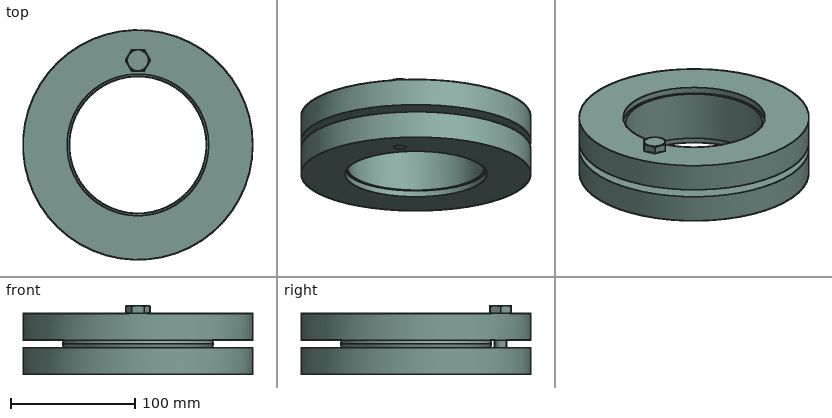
import cadquery as cq
import math

flange_diameter = 185.0
flange_thickness = 21.5
flange_gap = 6.1
upper_base = flange_thickness + flange_gap
upper_top = upper_base + flange_thickness

sleeve_bore = 110.0
sleeve_diameter = 114.0
sleeve_recess = 5.0
collar_end_diameter = 119.9
collar_ridge_diameter = 121.4

bolt_circle_diameter = 136.0
bolt_offset = bolt_circle_diameter / 2
shank_diameter = 10.0
head_height = 6.3
washer_face_diameter = 15.4
washer_face_height = 0.2
head_across_flats = 17.2
head_corner_diameter = head_across_flats / math.cos(math.pi / 6)
head_top_diameter = 17.0
head_chamfer_angle = math.radians(30)


def cylinder(diameter, base, height):
    """Upright cylinder on the Z axis."""
    return cq.Workplane("XY").workplane(offset=base).circle(diameter / 2).extrude(height)


def make_flange(base):
    """Plain ring flange with a sleeve bore and a bolt hole."""
    bore = cylinder(sleeve_diameter, base, flange_thickness)
    bolt_hole = cylinder(shank_diameter, base, flange_thickness).translate((0, bolt_offset, 0))
    return cylinder(flange_diameter, base, flange_thickness).cut(bore).cut(bolt_hole)


def make_sleeve():
    """Recessed tube with a collar that fills the gap and rises to a ridge at mid-height."""
    tube = cylinder(sleeve_diameter, sleeve_recess, upper_top - 2 * sleeve_recess)
    collar = (
        cq.Workplane("XZ")
        .moveTo(0, flange_thickness)
        .lineTo(collar_end_diameter / 2, flange_thickness)
        .lineTo(collar_ridge_diameter / 2, flange_thickness + flange_gap / 2)
        .lineTo(collar_end_diameter / 2, upper_base)
        .lineTo(0, upper_base)
        .close()
        .revolve(360, (0, 0), (0, 1))
    )
    return tube.union(collar).cut(cylinder(sleeve_bore, 0, upper_top))


def make_bolt():
    """Hexagon bolt with a washer face under its head and a shank through both flanges."""
    shank = cylinder(shank_diameter, 0, upper_top)
    washer_face = cylinder(washer_face_diameter, upper_top, washer_face_height)
    head = (
        cq.Workplane("XY").workplane(offset=upper_top + washer_face_height)
        .polygon(6, head_corner_diameter).extrude(head_height - washer_face_height)
    )
    chamfer_width = (head_corner_diameter - head_top_diameter) / 2
    chamfer_depth = chamfer_width * math.tan(head_chamfer_angle)
    corner_envelope = (
        cylinder(head_corner_diameter, upper_top, head_height)
        .faces(">Z").chamfer(chamfer_depth, chamfer_width)
    )
    head = head.intersect(corner_envelope)
    return shank.union(washer_face).union(head).translate((0, bolt_offset, 0))


lower_flange, upper_flange = [make_flange(base) for base in (0, upper_base)]
sleeve = make_sleeve()
bolt = make_bolt()

result = cq.Compound.makeCompound([
    lower_flange.val(),
    upper_flange.val(),
    sleeve.val(),
    bolt.val(),
])